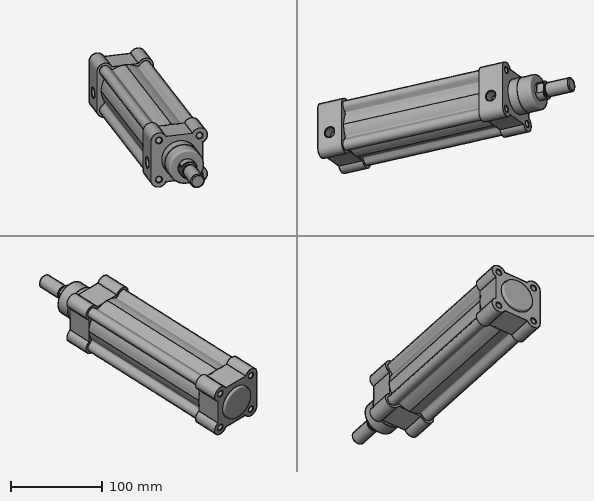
import cadquery as cq
import math


TOTAL_LENGTH = 304.2
REAR_BOSS_LENGTH = 4.0
CAP_LENGTH = 29.8
BARREL_LENGTH = 172.0
BARREL_START = REAR_BOSS_LENGTH + CAP_LENGTH
BARREL_END = BARREL_START + BARREL_LENGTH
FRONT_CAP_END = BARREL_END + CAP_LENGTH

CAP_SIZE = 64.5
CAP_OUTSIDE = CAP_SIZE / 2
CORNER_PITCH = 46.5
CORNER_OFFSET = CORNER_PITCH / 2
CAP_CORNER_RADIUS = CAP_OUTSIDE - CORNER_OFFSET
CAP_HALF_WIDTH = 27.0
BOSS_RADIUS = 20.0
REAR_BOSS_EDGE_RADIUS = 1.8
SCREW_HOLE_RADIUS = 3.3
SCREW_HOLE_DEPTH = 15.2
HOLE_CHAMFER = 0.5
PORT_RADIUS = 5.8
PORT_DEPTH = 12.2
PORT_Z = -8.0

BOSS_LENGTH = 28.0
BOSS_ROOT_LENGTH = 11.3
BOSS_STEP = 0.3
BOSS_EDGE_RADIUS = 2.0
BOSS_END = FRONT_CAP_END + BOSS_LENGTH

BARREL_RADIUS = 27.5
COLUMN_RADIUS = 6.0
RIDGE_HALF_WIDTH = 5.2
COLUMN_FILLET = 2.28

ROD_RADIUS = 10.0
COLLAR_LENGTH = 9.7
COLLAR_CHAMFER = 0.5
FLAT_START = 1.8
FLAT_HALF_WIDTH = 8.5
THREAD_RADIUS = 8.0
THREAD_CHAMFER = 1.2
THREAD_ROOT_RADIUS = 7.3
THREAD_ROOT_LENGTH = 1.0

CORNERS = [(y, z) for y in (-CORNER_OFFSET, CORNER_OFFSET) for z in (-CORNER_OFFSET, CORNER_OFFSET)]


def section(x):
    """Sketch plane across the axis at x, with local axes Y and Z."""
    return cq.Workplane("YZ", origin=(x, 0, 0))


def chamfered_hole(face, radius, depth):
    """Cutter for a blind hole with a conical mouth, sunk from face against its normal."""
    mouth = face.circle(radius + HOLE_CHAMFER).workplane(offset=-HOLE_CHAMFER).circle(radius).loft()
    return face.circle(radius).extrude(-depth).union(mouth)


def drill_corners(cap, face_x, outward):
    """Cap with four blind screw holes in the end face at face_x; outward is +1 or -1 along X."""
    for y, z in CORNERS:
        face = cq.Workplane(cq.Plane(origin=(face_x, y, z), xDir=(0, 1, 0), normal=(outward, 0, 0)))
        cap = cap.cut(chamfered_hole(face, SCREW_HOLE_RADIUS, SCREW_HOLE_DEPTH))
    return cap


def make_cap(start):
    """Square cap with round corner lobes; its port side (-Y) is flush with the lobes."""
    core = section(start).rect(2 * CAP_HALF_WIDTH, 2 * CAP_HALF_WIDTH).extrude(CAP_LENGTH)
    port_pad = (
        section(start)
        .center(-CAP_OUTSIDE / 2, 0)
        .rect(CAP_OUTSIDE, CORNER_PITCH)
        .extrude(CAP_LENGTH)
    )
    lobes = section(start).pushPoints(CORNERS).circle(CAP_CORNER_RADIUS).extrude(CAP_LENGTH)
    port_face = cq.Workplane("XZ", origin=(start + CAP_LENGTH / 2, -CAP_OUTSIDE, PORT_Z))
    port = chamfered_hole(port_face, PORT_RADIUS, PORT_DEPTH)
    return core.union(port_pad).union(lobes).cut(port)


def make_rear_cap():
    boss = (
        section(0)
        .circle(BOSS_RADIUS)
        .extrude(REAR_BOSS_LENGTH)
        .faces("<X")
        .edges()
        .fillet(REAR_BOSS_EDGE_RADIUS)
    )
    return drill_corners(make_cap(REAR_BOSS_LENGTH), REAR_BOSS_LENGTH, -1).union(boss)


def make_front_cap():
    root = section(FRONT_CAP_END).circle(BOSS_RADIUS).extrude(BOSS_ROOT_LENGTH)
    nose = (
        section(FRONT_CAP_END)
        .circle(BOSS_RADIUS - BOSS_STEP)
        .extrude(BOSS_LENGTH)
        .faces(">X")
        .edges()
        .fillet(BOSS_EDGE_RADIUS)
    )
    return drill_corners(make_cap(BARREL_END), FRONT_CAP_END, 1).union(root).union(nose)


def make_barrel():
    """Round tube outline with a corner column on each diagonal and a low ridge on each side."""
    barrel = section(BARREL_START).circle(BARREL_RADIUS).extrude(BARREL_LENGTH)
    column_reach = CORNER_OFFSET * math.sqrt(2) + COLUMN_RADIUS
    for diagonal in (45, 135):
        web = section(BARREL_START).slot2D(2 * column_reach, 2 * COLUMN_RADIUS, diagonal)
        barrel = barrel.union(web.extrude(BARREL_LENGTH))

    barrel_middle = BARREL_START + BARREL_LENGTH / 2
    half_angle = math.asin(COLUMN_RADIUS / BARREL_RADIUS)
    for quarter in range(4):
        diagonal = math.radians(45 + 90 * quarter)
        for angle in (diagonal - half_angle, diagonal + half_angle):
            junction = (barrel_middle, BARREL_RADIUS * math.cos(angle), BARREL_RADIUS * math.sin(angle))
            barrel = barrel.edges(cq.selectors.NearestToPointSelector(junction)).fillet(COLUMN_FILLET)

    tangent_y = math.sqrt(BARREL_RADIUS**2 - RIDGE_HALF_WIDTH**2)
    apex_y = BARREL_RADIUS**2 / tangent_y
    ridge = (
        section(BARREL_START)
        .polyline([(0, 0), (tangent_y, -RIDGE_HALF_WIDTH), (apex_y, 0), (tangent_y, RIDGE_HALF_WIDTH)])
        .close()
        .extrude(BARREL_LENGTH)
    )
    for quarter in range(4):
        barrel = barrel.union(ridge.rotate((0, 0, 0), (1, 0, 0), 90 * quarter))
    return barrel


def make_piston_rod():
    """Rod end outside the boss: collar with two spanner flats, then the threaded stud."""
    collar_end = BOSS_END + COLLAR_LENGTH
    collar = section(BOSS_END).circle(ROD_RADIUS).extrude(COLLAR_LENGTH).faces(">X").chamfer(COLLAR_CHAMFER)
    for side in (-1, 1):
        flat_center_y = side * (FLAT_HALF_WIDTH + ROD_RADIUS)
        flat = (
            section(BOSS_END + FLAT_START)
            .center(flat_center_y, 0)
            .rect(2 * ROD_RADIUS, 2 * ROD_RADIUS)
            .extrude(COLLAR_LENGTH - FLAT_START)
        )
        collar = collar.cut(flat)
    root = section(collar_end).circle(THREAD_ROOT_RADIUS).extrude(THREAD_ROOT_LENGTH)
    stud_start = collar_end + THREAD_ROOT_LENGTH
    stud = (
        section(stud_start)
        .circle(THREAD_RADIUS)
        .extrude(TOTAL_LENGTH - stud_start)
        .faces("<X or >X")
        .chamfer(THREAD_CHAMFER)
    )
    return collar.union(root).union(stud)


rear_cap = make_rear_cap()
front_cap = make_front_cap()
barrel = make_barrel()
piston_rod = make_piston_rod()

result = cq.Compound.makeCompound([rear_cap.val(), barrel.val(), front_cap.val(), piston_rod.val()])